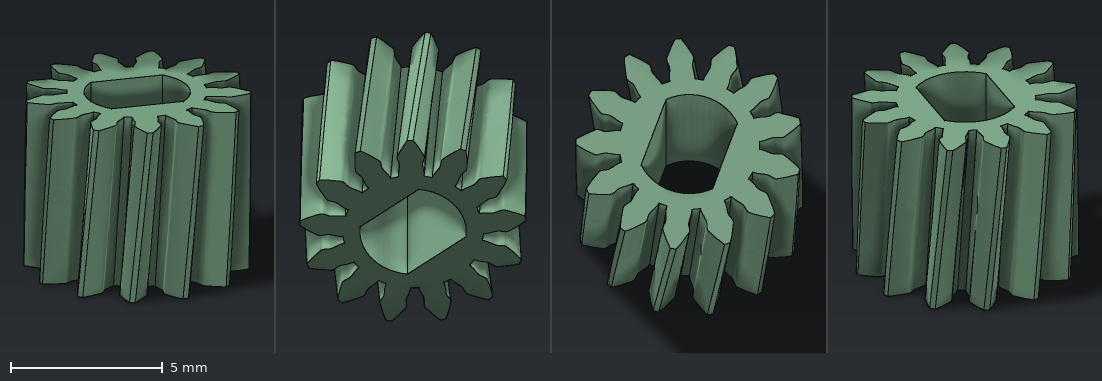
import cadquery as cq
import math

tooth_count = 13
height = 6.0
tip_radius = 3.75
root_radius = 2.32
twist_angle = 9.0

bore_diameter = 3.5
bore_flat_width = 2.5

root_half_width = 0.42
tip_half_width = 0.1
tooth_side = [
    (root_radius, root_half_width),
    (2.59, 0.405),
    (2.85, 0.39),
    (2.97, 0.43),
    (3.1, 0.45),
    (3.225, 0.4),
    (3.49, 0.26),
    (tip_radius, tip_half_width),
]

pitch_angle = 360.0 / tooth_count
first_tooth_angle = pitch_angle / 2 - twist_angle / 2


def point_on_circle(radius, angle):
    """Point at the given radius and angle in degrees."""
    return (radius * math.cos(math.radians(angle)), radius * math.sin(math.radians(angle)))


def tooth_point(radius, half_width, tooth_angle):
    """Point on a tooth side; a negative half width gives the clockwise side."""
    offset_angle = math.degrees(math.asin(half_width / radius))
    return point_on_circle(radius, tooth_angle + offset_angle)


def add_tooth(outline, tooth_angle):
    """Add one tooth, from its clockwise root corner to the root corner of the next tooth."""
    rising_side = [tooth_point(radius, -width, tooth_angle) for radius, width in tooth_side]
    falling_side = [tooth_point(radius, width, tooth_angle) for radius, width in reversed(tooth_side)]
    next_tooth_angle = tooth_angle + pitch_angle
    return (
        outline
        .spline(rising_side[1:], includeCurrent=True)
        .threePointArc(point_on_circle(tip_radius, tooth_angle), falling_side[0])
        .spline(falling_side[1:], includeCurrent=True)
        .threePointArc(
            point_on_circle(root_radius, tooth_angle + pitch_angle / 2),
            tooth_point(root_radius, -root_half_width, next_tooth_angle),
        )
    )


def make_toothed_body():
    """Twisted extrusion of the complete gear outline."""
    start = tooth_point(root_radius, -root_half_width, first_tooth_angle)
    outline = cq.Workplane("XY").moveTo(*start)
    for index in range(tooth_count):
        outline = add_tooth(outline, first_tooth_angle + index * pitch_angle)
    return outline.close().twistExtrude(height, twist_angle)


def make_bore():
    """Round through bore cut off by two flats parallel to the YZ plane."""
    round_bore = cq.Workplane("XY").circle(bore_diameter / 2).extrude(height)
    flat_limits = cq.Workplane("XY").rect(bore_flat_width, bore_diameter).extrude(height)
    return round_bore.intersect(flat_limits)


result = make_toothed_body().cut(make_bore())